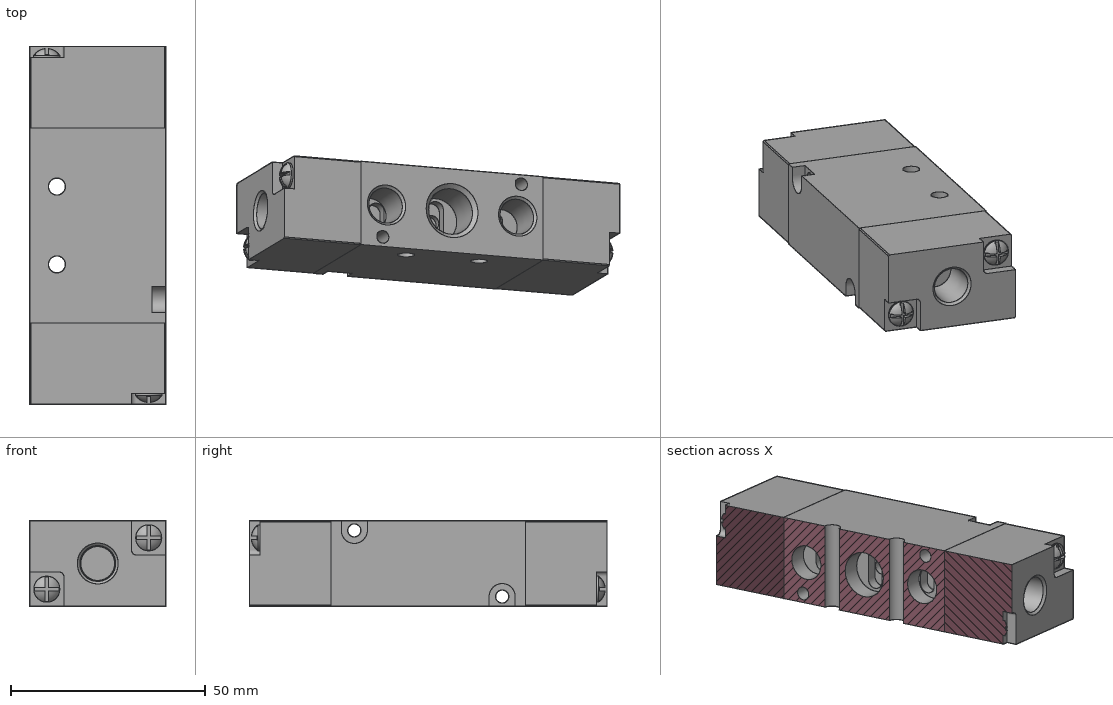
import cadquery as cq

WIDTH = 35.0
HEIGHT = 22.0
BODY_LENGTH = 50.0
CAP_LENGTH = 21.0
MID_X = WIDTH / 2
MID_Z = HEIGHT / 2
TOTAL_LENGTH = BODY_LENGTH + 2 * CAP_LENGTH

PORT_DEPTH = 12.0
PORT_TAPER = 0.5
CENTER_PORT_DIAMETER = 12.0
CENTER_MOUTH_DIAMETER = 14.2
SIDE_PORT_DIAMETER = 9.2
SIDE_MOUTH_DIAMETER = 10.5
SIDE_PORT_OFFSET = 18.0
PASSAGE_WIDTH = 4.2
PASSAGE_DEPTH = 3.0
CENTER_PASSAGE_LENGTH = 10.0
SIDE_PASSAGE_LENGTH = 6.5
SIDE_PASSAGE_OFFSET = 16.25
PASSAGE_DRILL_DIAMETER = 3.9
PASSAGE_DRILL_DEPTH = 2.0

VERTICAL_HOLE_DIAMETER = 4.3
VERTICAL_HOLE_X = 7.0
VERTICAL_HOLE_OFFSET = 10.0
CROSS_HOLE_DIAMETER = 3.3
CROSS_HOLE_OFFSET = 19.0
CROSS_HOLE_EDGE_DISTANCE = 2.5
HEAD_RECESS_WIDTH = 6.7
HEAD_RECESS_DEPTH = 3.5

CAP_EDGE_CHAMFER = 0.3
NOTCH_SIZE = 8.8
NOTCH_DEPTH = 2.8
NOTCH_CORNER_RADIUS = 1.2
SCREW_INSET = 4.4
SCREW_HEAD_DIAMETER = 6.7
SCREW_RIM_HEIGHT = 0.5
SCREW_HEAD_HEIGHT = 2.3
SCREW_SLOT_FLOOR_HEIGHT = 0.8
SCREW_SLOT_WIDTH = 0.9


def cylinder_along_x(x, y, z, diameter, length):
    """Cylinder starting at x and running toward +X."""
    return cq.Workplane("YZ", origin=(x, y, z)).circle(diameter / 2).extrude(length)


def tapered_bore(plane, bore_diameter, mouth_diameter, depth):
    """Blind tapered bore running along the plane normal, with a 45 degree mouth at the plane."""
    mouth_radius = mouth_diameter / 2
    bore_radius = bore_diameter / 2
    floor_radius = (bore_diameter - PORT_TAPER) / 2
    mouth_depth = mouth_radius - bore_radius
    section_plane = cq.Plane(origin=plane.origin, xDir=plane.xDir, normal=plane.xDir.cross(plane.zDir))
    return (
        cq.Workplane(section_plane)
        .polyline([
            (0, 0),
            (mouth_radius, 0),
            (bore_radius, mouth_depth),
            (floor_radius, depth),
            (0, depth),
        ])
        .close().revolve(360, (0, 0, 0), (0, 1, 0))
    )


def body_port(y, bore_diameter, mouth_diameter, passage_y, passage_length):
    """Port bore on the -X face plus the upright oblong passage in its floor."""
    plane = cq.Plane(origin=(0, y, MID_Z), xDir=(0, 1, 0), normal=(1, 0, 0))
    bore = tapered_bore(plane, bore_diameter, mouth_diameter, PORT_DEPTH)
    passage = (
        cq.Workplane("YZ", origin=(PORT_DEPTH, passage_y, MID_Z))
        .slot2D(passage_length, PASSAGE_WIDTH, 90).extrude(PASSAGE_DEPTH)
    )
    return bore.union(passage)


def head_recess(y, z, outward):
    """U-shaped recess at the +X face, open toward the top (outward 1) or bottom (-1) face."""
    x = WIDTH - HEAD_RECESS_DEPTH
    round_end = cylinder_along_x(x, y, z, HEAD_RECESS_WIDTH, HEAD_RECESS_DEPTH)
    open_side = cq.Workplane("XY").box(
        HEAD_RECESS_DEPTH, HEAD_RECESS_WIDTH, CROSS_HOLE_EDGE_DISTANCE, centered=(False, True, True)
    ).translate((x, y, z + outward * CROSS_HOLE_EDGE_DISTANCE / 2))
    return round_end.union(open_side)


def make_valve_body():
    body = cq.Workplane("XY").box(WIDTH, BODY_LENGTH, HEIGHT, centered=(False, True, False))

    body = body.cut(body_port(0, CENTER_PORT_DIAMETER, CENTER_MOUTH_DIAMETER, 0, CENTER_PASSAGE_LENGTH))
    body = body.cut(
        cylinder_along_x(PORT_DEPTH + PASSAGE_DEPTH, 0, MID_Z, PASSAGE_DRILL_DIAMETER, PASSAGE_DRILL_DEPTH)
    )

    for side in (-1, 1):
        body = body.cut(body_port(
            side * SIDE_PORT_OFFSET, SIDE_PORT_DIAMETER, SIDE_MOUTH_DIAMETER,
            side * SIDE_PASSAGE_OFFSET, SIDE_PASSAGE_LENGTH,
        ))
        vertical_hole = (
            cq.Workplane("XY", origin=(VERTICAL_HOLE_X, side * VERTICAL_HOLE_OFFSET, 0))
            .circle(VERTICAL_HOLE_DIAMETER / 2).extrude(HEIGHT)
        )
        body = body.cut(vertical_hole)

        cross_y = side * CROSS_HOLE_OFFSET
        cross_z = MID_Z - side * (MID_Z - CROSS_HOLE_EDGE_DISTANCE)
        body = body.cut(cylinder_along_x(0, cross_y, cross_z, CROSS_HOLE_DIAMETER, WIDTH))
        body = body.cut(head_recess(cross_y, cross_z, -side))
    return body


def make_screw_head(x, y, z):
    """Domed cross-slotted head standing on a floor at y and facing -Y."""
    radius = SCREW_HEAD_DIAMETER / 2
    dome_height = SCREW_HEAD_HEIGHT - SCREW_RIM_HEIGHT
    sphere_radius = (radius**2 + dome_height**2) / (2 * dome_height)
    blank = cq.Workplane("XZ").circle(radius).extrude(SCREW_HEAD_HEIGHT)
    ball = cq.Workplane("XY").sphere(sphere_radius).translate((0, sphere_radius - SCREW_HEAD_HEIGHT, 0))
    head = blank.intersect(ball)
    slot_depth = SCREW_HEAD_HEIGHT - SCREW_SLOT_FLOOR_HEIGHT
    slot_center_y = -(SCREW_SLOT_FLOOR_HEIGHT + SCREW_HEAD_HEIGHT) / 2
    for slot_x, slot_z in (
        (SCREW_HEAD_DIAMETER, SCREW_SLOT_WIDTH),
        (SCREW_SLOT_WIDTH, SCREW_HEAD_DIAMETER),
    ):
        slot = cq.Workplane("XY").box(slot_x, slot_depth, slot_z).translate((0, slot_center_y, 0))
        head = head.cut(slot)
    return head.translate((x, y, z))


def make_front_cap():
    """Cap on the -Y end, with its screw heads in the -X -Z and +X +Z corners."""
    end_y = -TOTAL_LENGTH / 2
    floor_y = end_y + NOTCH_DEPTH
    cap = (
        cq.Workplane("XY").box(WIDTH, CAP_LENGTH, HEIGHT, centered=False)
        .translate((0, end_y, 0)).edges("|Y").chamfer(CAP_EDGE_CHAMFER)
    )
    port_plane = cq.Plane(origin=(MID_X, end_y, MID_Z), xDir=(1, 0, 0), normal=(0, 1, 0))
    cap = cap.cut(tapered_bore(port_plane, SIDE_PORT_DIAMETER, SIDE_MOUTH_DIAMETER, PORT_DEPTH))

    for side in (-1, 1):
        notch = (
            cq.Workplane("XY").box(2 * NOTCH_SIZE, NOTCH_DEPTH, 2 * NOTCH_SIZE, centered=(True, False, True))
            .edges("|Y").fillet(NOTCH_CORNER_RADIUS)
            .translate((MID_X + side * MID_X, end_y, MID_Z + side * MID_Z))
        )
        cap = cap.cut(notch)
        screw_x = MID_X + side * (MID_X - SCREW_INSET)
        screw_z = MID_Z + side * (MID_Z - SCREW_INSET)
        cap = cap.union(make_screw_head(screw_x, floor_y, screw_z))
    return cap


valve_body = make_valve_body()
front_cap = make_front_cap()
rear_cap = front_cap.rotate((MID_X, 0, 0), (MID_X, 0, 1), 180)

result = cq.Compound.makeCompound([valve_body.val(), front_cap.val(), rear_cap.val()])